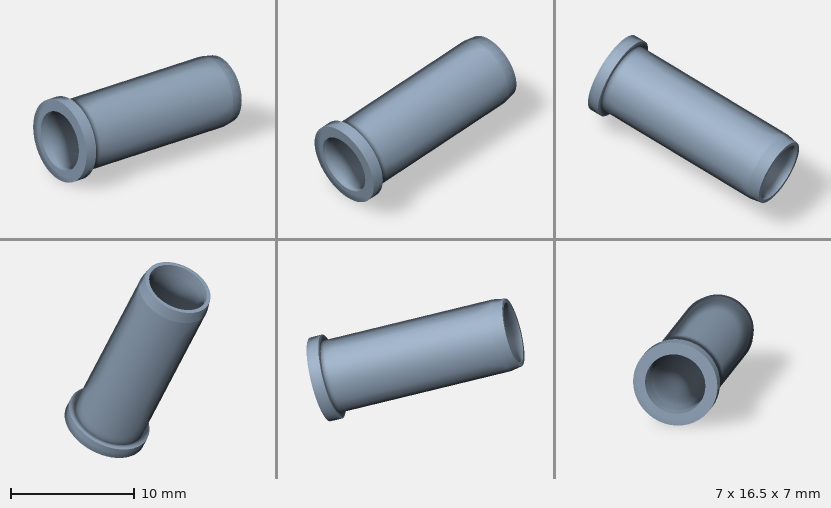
import cadquery as cq
import math

length = 16.5
flange_diameter = 7.0
body_diameter = 6.0
bore_diameter = 5.0
flange_thickness = 1.0
taper_length = 1.0
taper_angle = 10.0

flange_radius = flange_diameter / 2
body_radius = body_diameter / 2
bore_radius = bore_diameter / 2
tip_radius = body_radius - taper_length * math.tan(math.radians(taper_angle))

wall_section = (
    cq.Workplane("XY")
    .moveTo(bore_radius, 0)
    .lineTo(flange_radius, 0)
    .lineTo(flange_radius, flange_thickness)
    .lineTo(body_radius, flange_thickness)
    .lineTo(body_radius, length - taper_length)
    .lineTo(tip_radius, length)
    .lineTo(bore_radius, length)
    .close()
)

result = wall_section.revolve(360, (0, 0, 0), (0, 1, 0))